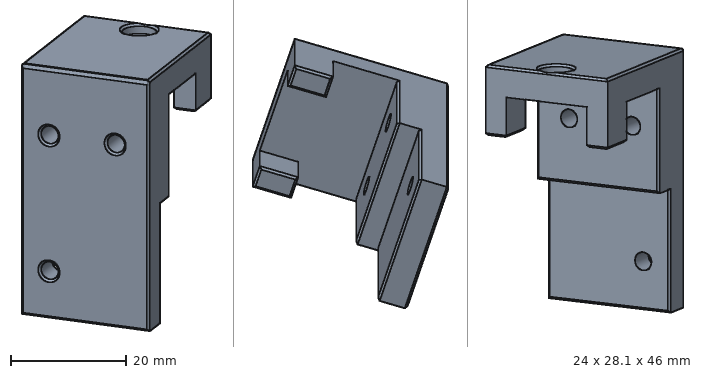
import cadquery as cq

width = 24.0
depth = 28.05
height = 46.0

lower_leg_thickness = 5.4
upper_leg_thickness = 9.4
step_z = height - 24.0
web_thickness = 5.35
hook_thickness = 7.0
hook_bottom_z = height - 12.5
edge_chamfer = 0.4
hook_slot_width = 15.82

screw_diameter = 3.2
hole_chamfer = 0.4
screw_pitch = 12.4
screw_left_x = -6.75
screw_top_z = height - 12.5
pocket_diameter = 6.0
pocket_depth = 1.75
pocket_back_distance = 3.55

hook_front_y = depth - hook_thickness


def make_body():
    """Extrude the stepped bracket profile and split the hook into two prongs."""
    profile = [
        (0, 0),
        (lower_leg_thickness, 0),
        (lower_leg_thickness, step_z),
        (upper_leg_thickness, step_z),
        (upper_leg_thickness, height - web_thickness),
        (hook_front_y, height - web_thickness),
        (hook_front_y, hook_bottom_z),
        (depth, hook_bottom_z),
        (depth, height),
        (0, height),
    ]
    body = cq.Workplane("YZ").polyline(profile).close().extrude(width / 2, both=True)
    slot = (
        cq.Workplane("XY")
        .box(hook_slot_width, hook_thickness, height - web_thickness, centered=(True, False, False))
        .translate((0, hook_front_y, 0))
    )
    return body.cut(slot)


def chamfer_edges(body):
    """Break the edges of the top, leg back, prong bottom and front faces."""
    body = body.faces(">Z").edges().chamfer(edge_chamfer)
    body = body.faces("<Y").edges().chamfer(edge_chamfer)

    leg_back_centers = [
        (0, lower_leg_thickness, step_z / 2),
        (0, upper_leg_thickness, (step_z + height - web_thickness) / 2),
    ]
    for center in leg_back_centers:
        leg_back = body.faces(cq.NearestToPointSelector(center))
        body = leg_back.edges("|Z or (|X and <Z)").chamfer(edge_chamfer)

    prong_x = (width + hook_slot_width) / 4
    for x in (-prong_x, prong_x):
        prong_center = (x, depth - hook_thickness / 2, hook_bottom_z)
        prong_bottom = body.faces(cq.NearestToPointSelector(prong_center))
        body = prong_bottom.edges().chamfer(edge_chamfer)
    return body


def chamfered_hole(plane, diameter, length):
    """Cutter running along the plane normal, with a flared mouth at its origin."""
    bore = cq.Workplane(plane).circle(diameter / 2).extrude(length)
    mouth = (
        cq.Workplane(plane)
        .circle(diameter / 2 + hole_chamfer)
        .workplane(offset=hole_chamfer)
        .circle(diameter / 2)
        .loft()
    )
    return bore.union(mouth)


result = chamfer_edges(make_body())

screw_positions = [
    (screw_left_x, screw_top_z),
    (screw_left_x + screw_pitch, screw_top_z),
    (screw_left_x, screw_top_z - 2 * screw_pitch),
]
for x, z in screw_positions:
    screw_plane = cq.Plane(origin=(x, 0, z), xDir=(1, 0, 0), normal=(0, 1, 0))
    result = result.cut(chamfered_hole(screw_plane, screw_diameter, hook_front_y))

pocket_plane = cq.Plane(
    origin=(0, depth - pocket_back_distance, height), xDir=(1, 0, 0), normal=(0, 0, -1)
)
result = result.cut(chamfered_hole(pocket_plane, pocket_diameter, pocket_depth))